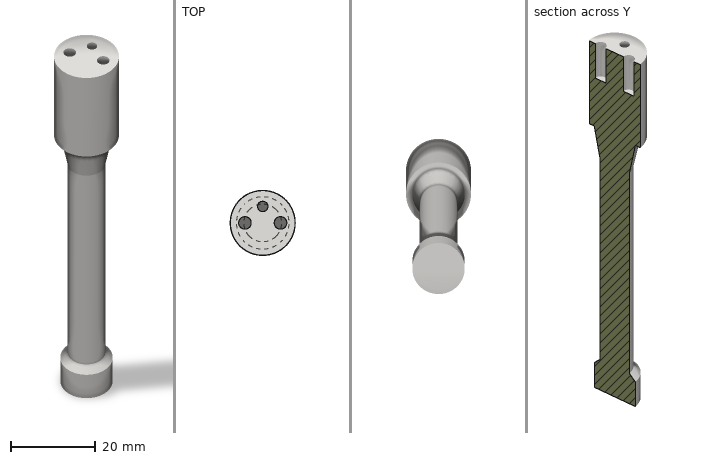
import cadquery as cq

total_height = 103.0
head_height = 24.9
taper_height = 9.0
foot_height = 9.2

head_diameter = 15.5
shaft_diameter = 9.0
taper_top_diameter = 12.5
foot_diameter = 12.5

contact_diameter = 3.0
contact_offset = 4.2
key_diameter = 2.5
key_offset = 3.9
hole_depth = 10.3

head_bottom = total_height - head_height
taper_bottom = head_bottom - taper_height
foot_chamfer_height = (foot_diameter - shaft_diameter) / 2


def turned_body():
    """Head, taper, shaft and foot revolved about the Z axis."""
    profile = [
        (0, 0),
        (foot_diameter / 2, 0),
        (foot_diameter / 2, foot_height - foot_chamfer_height),
        (shaft_diameter / 2, foot_height),
        (shaft_diameter / 2, taper_bottom),
        (taper_top_diameter / 2, head_bottom),
        (head_diameter / 2, head_bottom),
        (head_diameter / 2, total_height),
        (0, total_height),
    ]
    return cq.Workplane("XZ").polyline(profile).close().revolve(360, (0, 0), (0, 1))


def blind_holes(diameter, centers):
    """Cutter for flat-bottomed holes sunk from the top face."""
    return (
        cq.Workplane("XY")
        .workplane(offset=total_height - hole_depth)
        .pushPoints(centers)
        .circle(diameter / 2)
        .extrude(hole_depth)
    )


contact_holes = blind_holes(contact_diameter, [(-contact_offset, 0), (contact_offset, 0)])
key_hole = blind_holes(key_diameter, [(0, key_offset)])

result = turned_body().cut(contact_holes).cut(key_hole)